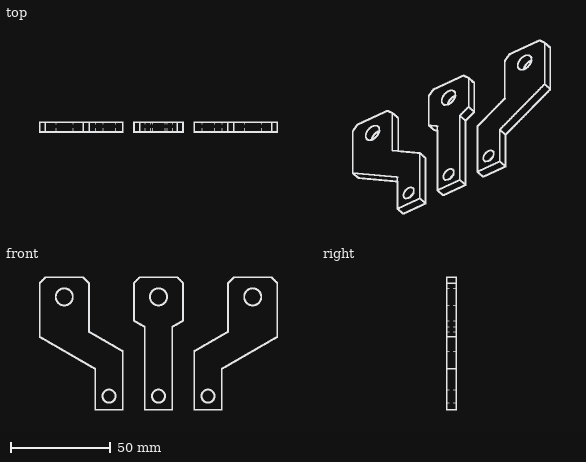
import cadquery as cq
import math

total_width = 120.0
height = 67.0
thickness = 5.0

head_width = 25.0
stem_width = 14.0
corner_chamfer = 3.0
head_hole_diameter = 8.5
head_hole_drop = 10.0
stem_hole_diameter = 6.5
stem_hole_height = 7.0
slope_angle = 30.0

side_head_x = (total_width - head_width) / 2
side_stem_x = 25.0

center_head_length = 22.0
side_outer_length = 30.1
side_inner_length = 27.5

head_half = head_width / 2
stem_half = stem_width / 2
slope = math.tan(math.radians(slope_angle))


def back_plane():
    """Return the XZ workplane on the back (+Y) face; it extrudes toward -Y."""
    return cq.Workplane("XZ", origin=(0, thickness / 2, 0))


def plate(outline):
    """Extrude an XZ outline into a plate centred on Y = 0."""
    return back_plane().polyline(outline).close().extrude(thickness)


def drill(body, x, z, diameter):
    """Cut a round hole through the plate thickness."""
    cutter = back_plane().center(x, z).circle(diameter / 2).extrude(thickness)
    return body.cut(cutter)


def make_terminal(head_x, stem_x, left_length, right_length):
    """Make a plate whose chamfered head runs down sloping edges into a narrow stem."""
    head_left = head_x - head_half
    head_right = head_x + head_half
    stem_left = stem_x - stem_half
    stem_right = stem_x + stem_half
    left_end = height - left_length
    right_end = height - right_length
    outline = [
        (stem_left, 0),
        (stem_right, 0),
        (stem_right, right_end - abs(head_right - stem_right) * slope),
        (head_right, right_end),
        (head_right, height - corner_chamfer),
        (head_right - corner_chamfer, height),
        (head_left + corner_chamfer, height),
        (head_left, height - corner_chamfer),
        (head_left, left_end),
        (stem_left, left_end - abs(stem_left - head_left) * slope),
    ]
    body = plate(outline)
    body = drill(body, head_x, height - head_hole_drop, head_hole_diameter)
    return drill(body, stem_x, stem_hole_height, stem_hole_diameter)


center_terminal = make_terminal(0, 0, center_head_length, center_head_length)

side_terminals = []
for side in (-1, 1):
    if side < 0:
        left_length, right_length = side_outer_length, side_inner_length
    else:
        left_length, right_length = side_inner_length, side_outer_length
    side_terminals.append(
        make_terminal(side * side_head_x, side * side_stem_x, left_length, right_length)
    )

result = cq.Compound.makeCompound(
    [center_terminal.val(), *[terminal.val() for terminal in side_terminals]]
)